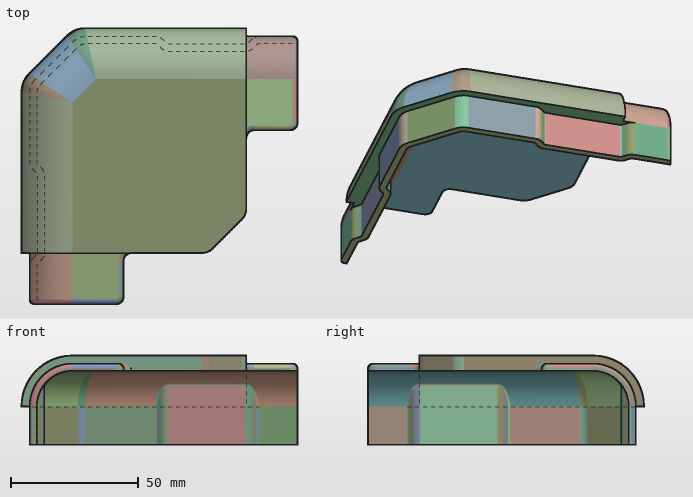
import cadquery as cq
import math


OVERALL = 108.0
COVER_LENGTH = 88.0
SKIRT_HEIGHT = 15.0
COVER_THICKNESS = 3.2
LINER_THICKNESS = 2.8
INNER_WALL = COVER_THICKNESS + LINER_THICKNESS

COVER_RADIUS = 20.0
LINER_RADIUS = COVER_RADIUS - COVER_THICKNESS
CAVITY_RADIUS = LINER_RADIUS - LINER_THICKNESS
EDGE_AXIS = COVER_RADIUS

BEVEL_AT_AXIS = 9.1
BEND_RADIUS = 10.0
BEVEL_ANGLE = 45.0
HALF_BEND = math.radians(BEVEL_ANGLE / 2)
BEND_CENTER = (COVER_RADIUS - BEND_RADIUS) / math.cos(HALF_BEND)

PLATE_CHAMFER = 15.0
PLATE_CHAMFER_FILLET = 6.0

ARM_INNER_SIDE = 40.0
ARM_CORNER_RADIUS = 3.0
ARM_EDGE_RADIUS = 2.0
ARM_ROOT_RADIUS = 0.3

JOG_START = 57.0
JOG_END = 88.1
JOG_DEPTH = 3.0
JOG_OUTER_RADIUS = 3.8
JOG_INNER_RADIUS = JOG_OUTER_RADIUS - LINER_THICKNESS
JOG_INNER_SHIFT = LINER_THICKNESS * math.tan(HALF_BEND)
JOG_MARGIN = 5.0

FAR = 2 * OVERALL


def swap_xy(solid):
    """Mirror a solid across the plane X = Y."""
    return solid.mirror("YZ").rotate((0, 0, 0), (0, 0, 1), -90)


def edge_slab(radius):
    """Long slab along X whose outer top edge is rounded with the given radius."""
    return (
        cq.Workplane("YZ", origin=(-FAR, 0, 0))
        .moveTo(-radius, 0)
        .lineTo(-radius, SKIRT_HEIGHT)
        .radiusArc((0, SKIRT_HEIGHT + radius), radius)
        .lineTo(FAR, SKIRT_HEIGHT + radius)
        .lineTo(FAR, 0)
        .close()
        .extrude(2 * FAR)
    )


def bend_ellipse(radius):
    """Semi-axes of the plan ellipse that rounds a bevel bend and is tangent to both sides."""
    along = BEND_CENTER + BEND_RADIUS - (COVER_RADIUS - radius)
    across = math.sqrt(radius**2 - (along * math.cos(HALF_BEND)) ** 2) / math.sin(HALF_BEND)
    return along, across


def bend_round(radius):
    """Domed elliptical wedge that fills a bevel bend between its two tangent planes."""
    along, across = bend_ellipse(radius)
    half_turn = math.degrees(math.atan(across * math.tan(HALF_BEND) / along))
    round_wedge = (
        cq.Workplane("XZ")
        .lineTo(radius, 0)
        .lineTo(radius, SKIRT_HEIGHT)
        .radiusArc((0, SKIRT_HEIGHT + radius), -radius)
        .close()
        .revolve(2 * half_turn, (0, 0, 0), (0, 1, 0))
        .rotate((0, 0, 0), (0, 0, 1), -half_turn)
    )
    stretch = cq.Matrix([[along / radius, 0, 0, 0], [0, across / radius, 0, 0], [0, 0, 1, 0]])
    return cq.Workplane(round_wedge.val().transformGeometry(stretch))


def bend_sector(radius):
    """Wedge between the two planes where a bend is tangent to its neighbours."""
    along, across = bend_ellipse(radius)
    slope = (across / along) ** 2 * math.tan(HALF_BEND)
    return (
        cq.Workplane("XY")
        .polyline([(0, 0), (FAR, -FAR * slope), (FAR, FAR * slope)])
        .close()
        .extrude(SKIRT_HEIGHT + radius)
    )


def rounded_block(radius):
    """Solid with rounded outer edges and a bevelled corner, running far out along +X and +Y."""
    side = edge_slab(radius).translate((0, EDGE_AXIS, 0))
    bevel_point = (EDGE_AXIS + BEVEL_AT_AXIS, EDGE_AXIS, 0)
    bevel = edge_slab(radius).rotate((0, 0, 0), (0, 0, 1), -BEVEL_ANGLE).translate(bevel_point)
    block = side.intersect(swap_xy(side)).intersect(bevel)

    turn = -90 - math.degrees(HALF_BEND)
    sector = bend_sector(radius)
    bend = bend_round(radius)
    sector = sector.rotate((0, 0, 0), (0, 0, 1), turn).translate(bevel_point)
    bend = bend.rotate((0, 0, 0), (0, 0, 1), turn).translate(bevel_point)
    block = block.cut(sector).cut(swap_xy(sector))
    return block.union(bend).union(swap_xy(bend))


def plate_prism():
    """Plan of the cover plate with its chamfered open corner."""
    chamfer_start = COVER_LENGTH - PLATE_CHAMFER
    inside_corner = (COVER_LENGTH / 2, COVER_LENGTH / 2, 0)
    return (
        cq.Workplane("XY")
        .polyline([
            (0, 0),
            (COVER_LENGTH, 0),
            (COVER_LENGTH, chamfer_start),
            (chamfer_start, COVER_LENGTH),
            (0, COVER_LENGTH),
        ])
        .close()
        .extrude(FAR)
        .edges("|Z")
        .edges(cq.selectors.BoxSelector(inside_corner, (FAR, FAR, FAR)))
        .fillet(PLATE_CHAMFER_FILLET)
    )


def make_cover():
    """Top layer, ending at the height of the skirt."""
    above_skirt = cq.Workplane("XY", origin=(0, 0, SKIRT_HEIGHT)).rect(2 * FAR, 2 * FAR).extrude(FAR)
    return rounded_block(COVER_RADIUS).intersect(plate_prism()).intersect(above_skirt)


def make_liner():
    """Layer under the cover, running on past it as the two arms."""
    arm = cq.Workplane("XY").rect(OVERALL, ARM_INNER_SIDE, centered=False).extrude(FAR)
    plan = plate_prism().union(arm).union(swap_xy(arm))
    for x in (OVERALL, COVER_LENGTH):
        for corner in ((x, ARM_INNER_SIDE), (ARM_INNER_SIDE, x)):
            nearest = cq.selectors.NearestToPointSelector((*corner, FAR / 2))
            plan = plan.edges("|Z").edges(nearest).fillet(ARM_CORNER_RADIUS)
    liner = rounded_block(LINER_RADIUS).intersect(plan)
    return liner.faces(">X").edges(">Z").fillet(ARM_EDGE_RADIUS)


def jog_prism(face, floor_start, floor_end, height):
    """Trapezoid with 45 degree ends rising inward from a skirt face, on a wide base outside it."""
    floor = face + JOG_DEPTH
    mouth_start = floor_start - JOG_DEPTH
    mouth_end = floor_end + JOG_DEPTH
    return (
        cq.Workplane("XY")
        .polyline([
            (mouth_start - JOG_MARGIN, 0),
            (mouth_start - JOG_MARGIN, face),
            (mouth_start, face),
            (floor_start, floor),
            (floor_end, floor),
            (mouth_end, face),
            (mouth_end + JOG_MARGIN, face),
            (mouth_end + JOG_MARGIN, 0),
        ])
        .close()
        .extrude(height)
    )


def jog_recess():
    """Recess in the outside of the skirt."""
    recess = jog_prism(COVER_THICKNESS, JOG_START, JOG_END, SKIRT_HEIGHT)
    recess = recess.faces(">Y").edges("|Z").fillet(JOG_INNER_RADIUS)
    for x in (JOG_START - JOG_DEPTH, JOG_END + JOG_DEPTH):
        nearest = cq.selectors.NearestToPointSelector((x, COVER_THICKNESS, SKIRT_HEIGHT / 2))
        recess = recess.edges("|Z").edges(nearest).fillet(JOG_OUTER_RADIUS)
    return recess


def jog_bump():
    """Matching bump on the inside of the skirt."""
    floor_start = JOG_START - JOG_INNER_SHIFT
    floor_end = JOG_END + JOG_INNER_SHIFT
    bump = jog_prism(INNER_WALL, floor_start, floor_end, FAR)
    return bump.faces(">Y").edges("|Z").fillet(JOG_OUTER_RADIUS)


def make_cavity():
    """Inside space, with both bumps left out and blended into the wall."""
    foot_x = JOG_START - JOG_INNER_SHIFT - JOG_DEPTH
    bump = jog_bump()
    cavity = rounded_block(CAVITY_RADIUS).cut(bump).cut(swap_xy(bump))
    for foot in ((foot_x, INNER_WALL), (INNER_WALL, foot_x)):
        nearest = cq.selectors.NearestToPointSelector((*foot, SKIRT_HEIGHT / 2))
        cavity = cavity.edges("|Z").edges(nearest).fillet(JOG_INNER_RADIUS)
    return cavity


def blend_arm_roots(body):
    """Round the inside corner where each arm leaves the cover end."""
    middle = (EDGE_AXIS + ARM_INNER_SIDE) / 2
    arm_top = SKIRT_HEIGHT + LINER_RADIUS
    for root in ((COVER_LENGTH, middle, arm_top), (middle, COVER_LENGTH, arm_top)):
        nearest = cq.selectors.NearestToPointSelector(root)
        body = body.edges(nearest).fillet(ARM_ROOT_RADIUS)
    return body


recess = jog_recess()
liner = make_liner().cut(recess).cut(swap_xy(recess))
body = make_cover().union(liner).cut(make_cavity())
body = blend_arm_roots(body)
result = body.rotate((0, 0, 0), (0, 0, 1), -90).translate((0, OVERALL, 0)).solids()